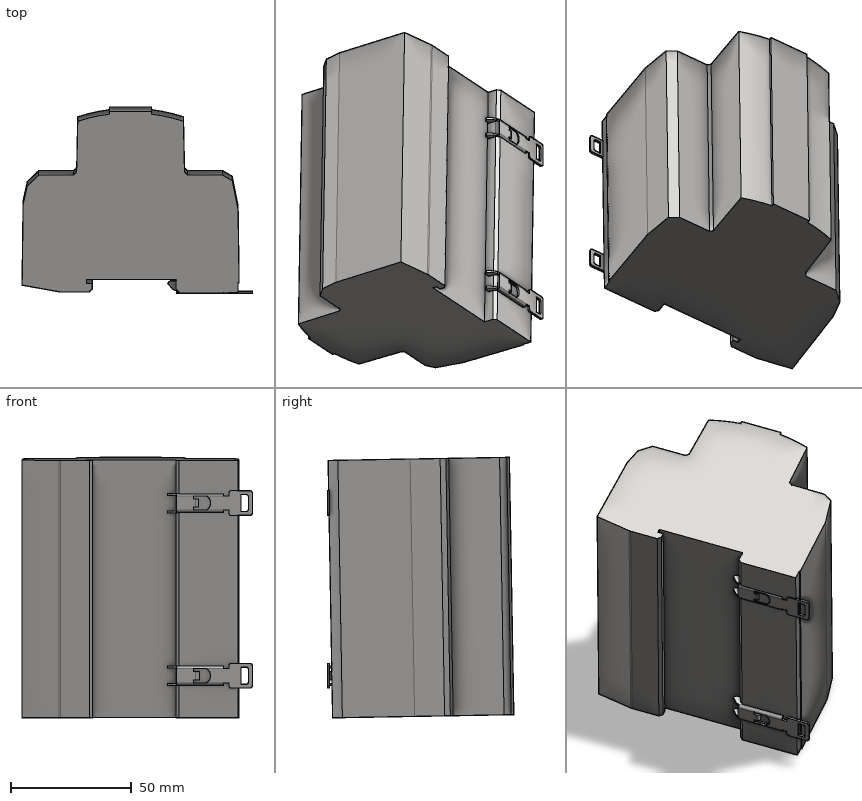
import cadquery as cq
import math

LEAN_ANGLE = 1.0
HOUSING_LENGTH = 106.6
HOUSING_WIDTH = 89.9
HOUSING_DEPTH = 74.8
CENTER_X = HOUSING_WIDTH / 2

SIDE_DRAFT = 0.4
SHOULDER_Y = 48.4
SHOULDER_CORNER_Y = 43.8
RIGHT_SHOULDER_CORNER_Y = 46.1
SIDE_BREAK_Y = 35.9
RIGHT_SIDE_BREAK_Y = 33.7
BEVEL_INSET = 2.2
RIGHT_BEVEL_INSET = 2.9
SHOULDER_INSET = 6.9

NOSE_BASE_HALF = 22.3
NOSE_TOP_HALF = 21.9
NOSE_CORNER = 1.2
NOSE_EDGE_Y = 70.7
CROWN_RADIUS = 70.1
LID_HALF = 8.7

CHANNEL_LEFT = 29.1
CHANNEL_RIGHT = 63.8
CHANNEL_DEPTH = 5.2
UNDERCUT_WIDTH = 2.4
UNDERCUT_START = 3.5
FOOT_CHAMFER = 1.3
RAMP_END_X = 15.6
RAMP_HEIGHT = 2.8
RAMP_BLEND = 4.3
RIGHT_FOOT_DROP = 0.3
FOOT_STEP_Y = 3.8

CLIP_CENTERS_Z = (17.5, 88.9)
SHEET = 0.9
CLIP_LEFT = 64.0
CLIP_RIGHT = 95.4
CLIP_BACK_Y = -2.4
CHANNEL_HEIGHT = 8.1
BEND_RADIUS = 1.1
WEB_HEIGHT = CHANNEL_HEIGHT - 2 * BEND_RADIUS
FLANGE_RIGHT = 83.4
FLANGE_TOP_Y = 2.9
HEAD_LEFT = 85.5
HEAD_HEIGHT = 10.2
HEAD_CORNER = 1.1
SLOT_LEFT = 90.6
SLOT_RIGHT = 93.6
SLOT_HEIGHT = 6.9
SLOT_CORNER = 0.9

HOOK_TIP = (60.2, 1.7)
HOOK_BARB_X = 61.4
HOOK_BEND = (62.2, -0.5)
HOOK_BASE_Y = -1.3

WINDOW_LEFT = 71.0
WINDOW_ARC_X = 76.3
WINDOW_RIGHT = 78.0
TONGUE_BEND_X = 71.8
TONGUE_RADIUS = 1.5
TONGUE_HEIGHT = 3.5
TONGUE_REACH = 2.8


def make_housing():
    crown_center_y = NOSE_EDGE_Y - math.sqrt(CROWN_RADIUS**2 - NOSE_TOP_HALF**2)

    def crown_point(offset):
        return CENTER_X + offset, crown_center_y + math.sqrt(CROWN_RADIUS**2 - offset**2)

    lid_edge_y = crown_point(LID_HALF)[1]
    crown_mid = (LID_HALF + NOSE_TOP_HALF) / 2
    nose_left = CENTER_X - NOSE_BASE_HALF
    nose_right = CENTER_X + NOSE_BASE_HALF
    right_side = HOUSING_WIDTH - SIDE_DRAFT

    profile = (
        cq.Workplane("XY")
        .moveTo(0, RAMP_HEIGHT)
        .lineTo(RAMP_END_X, 0)
        .lineTo(CHANNEL_LEFT - FOOT_CHAMFER, 0)
        .lineTo(CHANNEL_LEFT, FOOT_CHAMFER)
        .lineTo(CHANNEL_LEFT, UNDERCUT_START)
        .lineTo(CHANNEL_LEFT - UNDERCUT_WIDTH, UNDERCUT_START)
        .lineTo(CHANNEL_LEFT - UNDERCUT_WIDTH, CHANNEL_DEPTH)
        .lineTo(CHANNEL_RIGHT, CHANNEL_DEPTH)
        .lineTo(CHANNEL_RIGHT, FOOT_CHAMFER - RIGHT_FOOT_DROP)
        .lineTo(CHANNEL_RIGHT + FOOT_CHAMFER, -RIGHT_FOOT_DROP)
        .lineTo(right_side, -RIGHT_FOOT_DROP)
        .lineTo(right_side, FOOT_STEP_Y)
        .lineTo(HOUSING_WIDTH, FOOT_STEP_Y)
        .lineTo(right_side, RIGHT_SIDE_BREAK_Y)
        .lineTo(HOUSING_WIDTH - RIGHT_BEVEL_INSET, RIGHT_SHOULDER_CORNER_Y)
        .lineTo(HOUSING_WIDTH - SHOULDER_INSET, SHOULDER_Y)
        .lineTo(nose_right + NOSE_CORNER, SHOULDER_Y)
        .lineTo(nose_right, SHOULDER_Y + NOSE_CORNER)
        .lineTo(*crown_point(NOSE_TOP_HALF))
        .threePointArc(crown_point(crown_mid), crown_point(LID_HALF))
        .lineTo(CENTER_X + LID_HALF, HOUSING_DEPTH)
        .lineTo(CENTER_X - LID_HALF, HOUSING_DEPTH)
        .lineTo(CENTER_X - LID_HALF, lid_edge_y)
        .threePointArc(crown_point(-crown_mid), crown_point(-NOSE_TOP_HALF))
        .lineTo(nose_left, SHOULDER_Y + NOSE_CORNER)
        .lineTo(nose_left - NOSE_CORNER, SHOULDER_Y)
        .lineTo(SHOULDER_INSET, SHOULDER_Y)
        .lineTo(BEVEL_INSET, SHOULDER_CORNER_Y)
        .lineTo(SIDE_DRAFT, SIDE_BREAK_Y)
        .close()
    )
    housing = profile.extrude(HOUSING_LENGTH)
    ramp_edge = cq.selectors.NearestToPointSelector((RAMP_END_X, 0, HOUSING_LENGTH / 2))
    housing = housing.edges(ramp_edge).fillet(RAMP_BLEND)
    return housing.rotate((0, 0, 0), (1, 0, 0), LEAN_ANGLE)


def clip_box(left, right, bottom, top, height):
    """Box centered on the clip's mid plane, bounded in X and Y."""
    return cq.Workplane("XY").box(
        right - left, top - bottom, height, centered=(False, False, True)
    ).translate((left, bottom, 0))


def make_clip_channel():
    """Web with two flanges, bent from sheet with rounded outer corners."""
    outer = clip_box(CLIP_LEFT, FLANGE_RIGHT, CLIP_BACK_Y, FLANGE_TOP_Y, CHANNEL_HEIGHT)
    outer = outer.edges("|X and <Y").fillet(BEND_RADIUS)
    inside_height = CHANNEL_HEIGHT - 2 * SHEET
    inside = clip_box(CLIP_LEFT, FLANGE_RIGHT, CLIP_BACK_Y + SHEET, FLANGE_TOP_Y, inside_height)
    inside = inside.edges("|X and <Y").fillet(BEND_RADIUS - SHEET)
    return outer.cut(inside)


def make_clip_head():
    """Slotted pull tab and the neck joining it to the channel."""
    web_top = CLIP_BACK_Y + SHEET
    neck = clip_box(FLANGE_RIGHT, HEAD_LEFT, CLIP_BACK_Y, web_top, WEB_HEIGHT)
    head = clip_box(HEAD_LEFT, CLIP_RIGHT, CLIP_BACK_Y, web_top, HEAD_HEIGHT)
    head = head.edges("|Y").fillet(HEAD_CORNER)
    slot = clip_box(SLOT_LEFT, SLOT_RIGHT, CLIP_BACK_Y, web_top, SLOT_HEIGHT)
    slot = slot.edges("|Y and >X").fillet(SLOT_CORNER)
    return neck.union(head).cut(slot)


def make_hooks():
    """Barbed ends of both flanges, reaching into the rail channel."""
    base_x = CLIP_LEFT + BEND_RADIUS
    hook = (
        cq.Workplane("XY")
        .moveTo(base_x, HOOK_BASE_Y)
        .lineTo(CLIP_LEFT, HOOK_BASE_Y)
        .tangentArcPoint(HOOK_BEND, relative=False)
        .lineTo(*HOOK_TIP)
        .lineTo(HOOK_BARB_X, FLANGE_TOP_Y)
        .lineTo(base_x, FLANGE_TOP_Y)
        .close()
        .extrude(SHEET)
    )
    flange_z = CHANNEL_HEIGHT / 2 - SHEET
    upper = hook.translate((0, 0, flange_z))
    return upper.union(upper.mirror("XY"))


def make_window():
    """Opening through the web with a rounded right end."""
    half = WEB_HEIGHT / 2
    return (
        cq.Workplane("XZ", origin=(0, CLIP_BACK_Y, 0))
        .moveTo(WINDOW_LEFT, -half)
        .lineTo(WINDOW_ARC_X, -half)
        .threePointArc((WINDOW_RIGHT, 0), (WINDOW_ARC_X, half))
        .lineTo(WINDOW_LEFT, half)
        .close()
        .extrude(-SHEET)
    )


def make_tongue():
    """Tongue rolled inward from the left end of the window until it stands square to the web."""
    web_top = CLIP_BACK_Y + SHEET
    tongue_right = TONGUE_BEND_X + TONGUE_RADIUS
    bend_y = CLIP_BACK_Y + TONGUE_RADIUS
    end_y = CLIP_BACK_Y + TONGUE_REACH
    return (
        cq.Workplane("XY", origin=(0, 0, -TONGUE_HEIGHT / 2))
        .moveTo(WINDOW_LEFT, CLIP_BACK_Y)
        .lineTo(TONGUE_BEND_X, CLIP_BACK_Y)
        .radiusArc((tongue_right, bend_y), -TONGUE_RADIUS)
        .lineTo(tongue_right, end_y)
        .lineTo(tongue_right - SHEET, end_y)
        .lineTo(tongue_right - SHEET, bend_y)
        .radiusArc((TONGUE_BEND_X, web_top), TONGUE_RADIUS - SHEET)
        .lineTo(WINDOW_LEFT, web_top)
        .close()
        .extrude(TONGUE_HEIGHT)
    )


def make_clip():
    clip = make_clip_channel().union(make_clip_head())
    return clip.union(make_hooks()).cut(make_window()).union(make_tongue())


result = make_housing()
clip = make_clip()
for center_z in CLIP_CENTERS_Z:
    result = result.union(clip.translate((0, 0, center_z)))